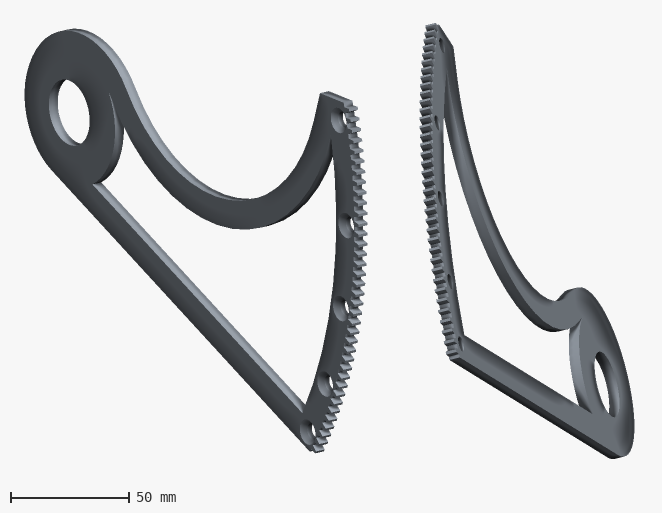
import cadquery as cq
import math

thickness = 4.7
front_y = -thickness / 2

hub_center = (0.0, 0.0)
hub_radius = 31.3
bore_radius = 14.3
hub_land_radius = 32.0

swell_radius = 39.5

arm_center = (100.5, 63.3)
arm_inner_radius = 74.0
arm_width = 12.5
arm_outer_radius = arm_inner_radius + arm_width
arm_end_angle = -18.0

bar_angle = -23.4
bar_width = arm_width

rim_inner_radius = 186.8
root_radius = 199.5
tip_radius = 202.5
top_z = 54.0

sector_teeth = 37
tooth_pitch_angle = 1.29
lowest_tooth_angle = -31.66
tooth_root_width = 2.5
tooth_tip_width = 1.2
tooth_embed = 0.7

screw_circle_radius = 193.8
screw_angles = (13.5, 0.0, -11.25, -22.5, -30.6)
screw_diameter = 6.5
countersink_diameter = 11.0
countersink_angle = 90.0


def polar(radius, angle, center=hub_center):
    """Point at a radius and an angle in degrees around a center (the hub axis by default)."""
    a = math.radians(angle)
    return (center[0] + radius * math.cos(a), center[1] + radius * math.sin(a))


def angle_of(point, center=hub_center):
    """Direction in degrees from a center (the hub axis by default) to a point."""
    return math.degrees(math.atan2(point[1] - center[1], point[0] - center[0]))


def bar_line_point(offset, radius):
    """Point at a radius from the hub axis, on a line along the bar at an offset below the axis."""
    return polar(radius, bar_angle - math.degrees(math.asin(offset / radius)))


def circle_crossing(center_a, radius_a, center_b, radius_b, side):
    """Crossing of two circles, on the left (side=1) or right (side=-1) going from a to b."""
    gap = math.dist(center_a, center_b)
    cosine = (radius_a**2 + gap**2 - radius_b**2) / (2 * radius_a * gap)
    turn = math.degrees(math.acos(cosine))
    return polar(radius_a, angle_of(center_b, center_a) + side * turn, center_a)


swell_center = circle_crossing(
    hub_center, swell_radius - hub_radius, arm_center, swell_radius + arm_inner_radius, side=-1
)
swell_to_arm_angle = angle_of(arm_center, swell_center)
arm_start_angle = swell_to_arm_angle - 180


def plate_sketch():
    return cq.Workplane("XZ", origin=(0, front_y, 0))


def plate_blank():
    """Outer outline of the lever without its teeth."""
    hub_to_swell_angle = angle_of(hub_center, swell_center)

    hub_tangent_angle = bar_angle - 90
    bar_start = polar(hub_radius, hub_tangent_angle)
    rim_bottom = bar_line_point(hub_radius, root_radius)
    rim_middle = polar(root_radius, 0)
    rim_top = (math.sqrt(root_radius**2 - top_z**2), top_z)

    arm_end = polar(arm_inner_radius, arm_end_angle, arm_center)
    arm_middle = polar(arm_inner_radius, (arm_start_angle + arm_end_angle) / 2, arm_center)
    arm_start = polar(arm_inner_radius, arm_start_angle, arm_center)
    straight_rise = top_z - arm_end[1]
    arm_tip = (arm_end[0] - straight_rise * math.tan(math.radians(arm_end_angle)), top_z)

    swell_middle = polar(swell_radius, (hub_to_swell_angle + swell_to_arm_angle) / 2, swell_center)
    swell_end = polar(hub_radius, hub_to_swell_angle)
    hub_left = polar(hub_radius, 180)

    return (
        plate_sketch()
        .moveTo(*bar_start)
        .lineTo(*rim_bottom)
        .threePointArc(rim_middle, rim_top)
        .lineTo(*arm_tip)
        .lineTo(*arm_end)
        .threePointArc(arm_middle, arm_start)
        .threePointArc(swell_middle, swell_end)
        .threePointArc(hub_left, bar_start)
        .close()
        .extrude(-thickness)
    )


def window():
    """Opening bounded by the hub, the arm, the rim and the bar."""
    bar_inner_offset = hub_radius - bar_width
    swell_inner_radius = swell_radius - arm_width

    bar_hub_corner = bar_line_point(bar_inner_offset, hub_land_radius)
    bar_rim_corner = bar_line_point(bar_inner_offset, rim_inner_radius)
    arm_rim_corner = circle_crossing(
        hub_center, rim_inner_radius, arm_center, arm_outer_radius, side=-1
    )
    arm_lower_start = polar(arm_outer_radius, arm_start_angle, arm_center)
    arm_lower_middle_angle = (arm_start_angle + angle_of(arm_rim_corner, arm_center)) / 2
    arm_lower_middle = polar(arm_outer_radius, arm_lower_middle_angle, arm_center)
    cusp = circle_crossing(hub_center, hub_land_radius, swell_center, swell_inner_radius, side=1)
    cusp_middle_angle = (swell_to_arm_angle + angle_of(cusp, swell_center)) / 2
    cusp_middle = polar(swell_inner_radius, cusp_middle_angle, swell_center)

    return (
        plate_sketch()
        .moveTo(*bar_hub_corner)
        .lineTo(*bar_rim_corner)
        .threePointArc(polar(rim_inner_radius, 0), arm_rim_corner)
        .threePointArc(arm_lower_middle, arm_lower_start)
        .threePointArc(cusp_middle, cusp)
        .threePointArc(polar(hub_land_radius, 0), bar_hub_corner)
        .close()
        .extrude(-thickness)
    )


def bore():
    return plate_sketch().center(*hub_center).circle(bore_radius).extrude(-thickness)


def tooth(angle):
    """One tapered tooth centered at an angle on the rim."""
    half_root = tooth_root_width / 2
    half_tip = tooth_tip_width / 2
    base = root_radius - tooth_embed
    profile = [
        (base, -half_root),
        (root_radius, -half_root),
        (tip_radius, -half_tip),
        (tip_radius, half_tip),
        (root_radius, half_root),
        (base, half_root),
    ]
    blank = plate_sketch().polyline(profile).close().extrude(-thickness)
    return blank.rotate((0, 0, 0), (0, -1, 0), angle)


def with_screw_holes(body):
    centers = [polar(screw_circle_radius, angle) for angle in screw_angles]
    return (
        body.copyWorkplane(plate_sketch())
        .pushPoints(centers)
        .cskHole(screw_diameter, countersink_diameter, countersink_angle)
    )


lever = plate_blank().cut(window()).cut(bore())
for index in range(sector_teeth):
    lever = lever.union(tooth(lowest_tooth_angle + index * tooth_pitch_angle))

result = with_screw_holes(lever)